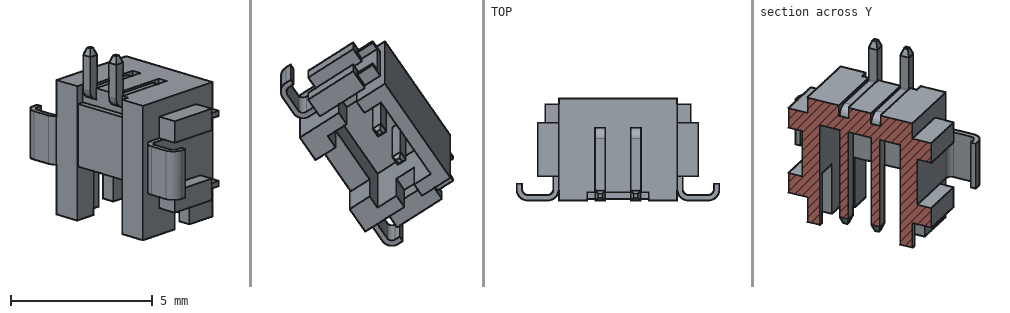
import cadquery as cq


body_width = 4.17
body_depth = 3.6
body_height = 5.0
half_width = body_width / 2

front_wall = 0.85
side_wall = 0.5
back_wall = 0.5
cavity_height = 4.0

leg_width = 1.0
opening_width = body_width - 2 * leg_width
opening_height = 2.0
panel_recess = 0.05
panel_top = 4.33
ledge_recess = 0.3

window_front = 1.65
window_back = 2.4

pin_count = 2
pin_pitch = 1.25
pin_size = 0.35
pin_outer_radius = 0.38
pin_inner_radius = pin_outer_radius - pin_size
pin_top = 6.5
pin_bottom = 0.25
pin_back = 2.575
pin_run_bottom = 4.575
pin_run_top = pin_run_bottom + pin_size
pin_tip_length = 0.27
pin_tip_size = 0.15
slot_clearance = 0.02

clip_thickness = 0.2
clip_middle = 2.69
clip_height = 1.8
clip_bottom = clip_middle - clip_height / 2
clip_top = clip_middle + clip_height / 2
clip_back = 3.4
clip_reach = 3.575
clip_outer_radius = 0.4
clip_inner_radius = clip_outer_radius - clip_thickness
clip_hook_depth = 0.6
flange_span = 2.81
flange_reach = 2.565
lug_front = front_wall
lug_back = 2.75
lug_reach = 2.83
lug_height = 0.8


def box(x_range, y_range, z_range):
    """Axis-aligned block between the given limits."""
    size = [limits[1] - limits[0] for limits in (x_range, y_range, z_range)]
    corner = (x_range[0], y_range[0], z_range[0])
    return cq.Workplane("XY").box(*size, centered=False).translate(corner)


def make_housing():
    half_opening = opening_width / 2
    half_cavity = half_width - side_wall
    opening_x = (-half_opening, half_opening)
    housing = box((-half_width, half_width), (0, body_depth), (0, body_height))
    cavity = box((-half_cavity, half_cavity), (front_wall, body_depth - back_wall), (0, cavity_height))
    opening = box(opening_x, (0, front_wall), (0, opening_height))
    recess = box(opening_x, (0, panel_recess), (opening_height, panel_top))
    ledge = box(opening_x, (0, ledge_recess), (panel_top, body_height))
    windows = box((-half_width, half_width), (window_front, window_back), (0, opening_height))
    return housing.cut(cavity).cut(opening).cut(recess).cut(ledge).cut(windows)


def make_pin_slot(x):
    """Groove in the top face, with clearance on the side of the pin away from the centre."""
    left = x - pin_size / 2
    right = x + pin_size / 2
    if x < 0:
        left -= slot_clearance
    else:
        right += slot_clearance
    return box((left, right), (0, pin_back), (pin_run_bottom, body_height))


def make_pin_tip(x, y, shoulder, direction):
    """Tapered end of a pin, pointing up (direction 1) or down (direction -1)."""
    return (
        cq.Workplane("XY", origin=(x, y, shoulder))
        .rect(pin_size, pin_size)
        .workplane(offset=direction * pin_tip_length)
        .rect(pin_tip_size, pin_tip_size)
        .loft(ruled=True)
    )


def make_pin(x):
    """Pin that rises inside the cavity, runs forward along the slot and turns up at the front."""
    lower_shoulder = pin_bottom + pin_tip_length
    upper_shoulder = pin_top - pin_tip_length
    tail_y = pin_size / 2
    contact_y = pin_back - pin_size / 2
    profile = [
        (0, upper_shoulder),
        (0, pin_run_bottom),
        (pin_back - pin_size, pin_run_bottom),
        (pin_back - pin_size, lower_shoulder),
        (pin_back, lower_shoulder),
        (pin_back, pin_run_top),
        (pin_size, pin_run_top),
        (pin_size, upper_shoulder),
    ]
    outer_corners = [(0, pin_run_bottom), (pin_back, pin_run_top)]
    inner_corners = [(pin_back - pin_size, pin_run_bottom), (pin_size, pin_run_top)]
    pin = cq.Workplane("YZ").polyline(profile).close().extrude(pin_size / 2, both=True)
    for corners, radius in ((outer_corners, pin_outer_radius), (inner_corners, pin_inner_radius)):
        for y, z in corners:
            pin = pin.edges(cq.selectors.NearestToPointSelector((0, y, z))).fillet(radius)
    upper_tip = make_pin_tip(x, tail_y, upper_shoulder, 1)
    lower_tip = make_pin_tip(x, contact_y, lower_shoulder, -1)
    return pin.translate((x, 0, 0)).union(upper_tip).union(lower_tip)


def make_clip():
    """Solder clip on the +X side: plate against the wall, bent outward into a hook."""
    plate_outside = half_width + clip_thickness
    outer_start = half_width + clip_outer_radius
    outer_end = clip_reach - clip_outer_radius
    hook = (
        cq.Workplane("XY", origin=(0, 0, clip_bottom))
        .moveTo(half_width, clip_back)
        .lineTo(half_width, clip_outer_radius)
        .radiusArc((outer_start, 0), -clip_outer_radius)
        .lineTo(outer_end, 0)
        .radiusArc((clip_reach, clip_outer_radius), -clip_outer_radius)
        .lineTo(clip_reach, clip_hook_depth)
        .lineTo(clip_reach - clip_thickness, clip_hook_depth)
        .lineTo(clip_reach - clip_thickness, clip_outer_radius)
        .radiusArc((outer_end, clip_thickness), clip_inner_radius)
        .lineTo(outer_start, clip_thickness)
        .radiusArc((plate_outside, clip_outer_radius), clip_inner_radius)
        .lineTo(plate_outside, clip_back)
        .close()
        .extrude(clip_top - clip_bottom)
    )
    flange_z = (clip_middle - flange_span / 2, clip_middle + flange_span / 2)
    channel_z = (flange_z[0] + clip_thickness, flange_z[1] - clip_thickness)
    flanges = box((half_width, flange_reach), (lug_back, clip_back), flange_z)
    channel = box((plate_outside, flange_reach), (lug_back, clip_back), channel_z)
    return hook.union(flanges.cut(channel))


def make_lugs():
    """Pair of +X side lugs just above and below the clip."""
    lug_x = (half_width, lug_reach)
    lug_y = (lug_front, lug_back)
    lower = box(lug_x, lug_y, (clip_bottom - lug_height, clip_bottom))
    upper = box(lug_x, lug_y, (clip_top, clip_top + lug_height))
    return lower.union(upper)


result = make_housing()
side_parts = make_clip().union(make_lugs())
result = result.union(side_parts).union(side_parts.mirror("YZ"))
for index in range(pin_count):
    pin_x = (index - (pin_count - 1) / 2) * pin_pitch
    result = result.cut(make_pin_slot(pin_x)).union(make_pin(pin_x))